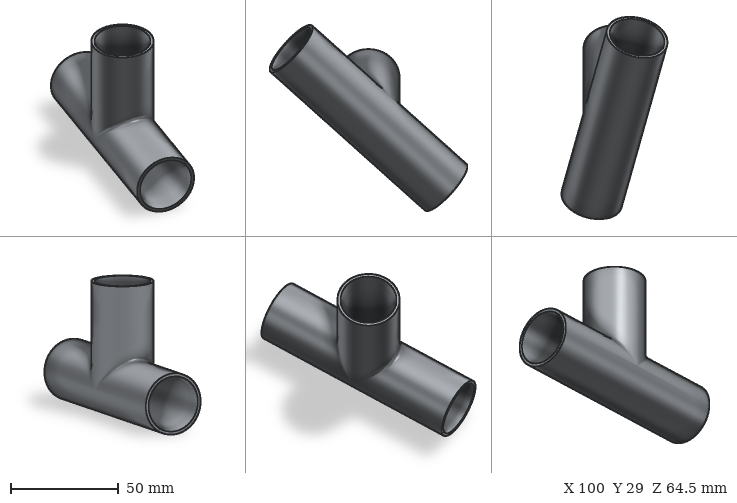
import cadquery as cq
import math

run_length = 100.0
outer_diameter = 29.0
bore_diameter = 26.0
branch_height = 50.0
fillet_radius = 2.0
path_half_angle = 100.0

outer_radius = outer_diameter / 2
ball_radius = outer_radius + fillet_radius


def tee(diameter):
    """Two crossing solid cylinders of equal diameter: run along X, branch up Z."""
    run = cq.Workplane("YZ").circle(diameter / 2).extrude(run_length / 2, both=True)
    branch = cq.Workplane("XY").circle(diameter / 2).extrude(branch_height)
    return run.union(branch)


def corner_fillet():
    """Fillet in the +X corner, fading to nothing where the outer walls meet side by side."""
    path_plane = cq.Plane(origin=(0, 0, 0), xDir=(1, 0, 1), normal=(1, 0, -1))
    path_reach = ball_radius * math.sqrt(2)

    wedge = (
        cq.Workplane("XZ")
        .polyline([(0, 0), (2 * ball_radius, 2 * outer_radius), (2 * outer_radius, 2 * ball_radius)])
        .close()
        .extrude(ball_radius, both=True)
    )
    filler = wedge.intersect(
        cq.Workplane(path_plane).ellipse(path_reach, ball_radius).extrude(ball_radius, both=True)
    )

    path = cq.Workplane(path_plane).ellipseArc(
        path_reach, ball_radius, -path_half_angle, path_half_angle, startAtCurrent=False
    )
    path_edge = path.val()
    start_plane = cq.Plane(
        origin=path_edge.startPoint(), xDir=path_plane.zDir, normal=path_edge.tangentAt(0)
    )
    rolling_ball = cq.Workplane(start_plane).circle(fillet_radius).sweep(path)
    return filler.cut(rolling_ball)


fillet = corner_fillet()
body = tee(outer_diameter).union(fillet).union(fillet.mirror("YZ"))
result = body.cut(tee(bore_diameter))